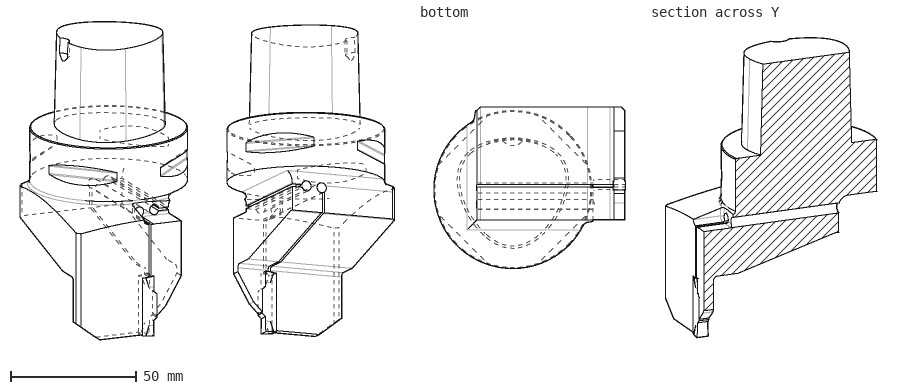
import cadquery as cq
import math


SHANK_LENGTH = 38.0
SHANK_MEAN_RADIUS = 22.0
SHANK_LOBE = 1.4
SHANK_TAPER = 1 / 40
LOBE_HALF_ANGLE = math.radians(28.5)
FACE_SPLINE_POINTS = 9
LOBES = 3

KEYWAY_RADIUS = 4.9
KEYWAY_DEPTH = 6.2
KEYWAY_AXIS_OFFSET = 2.75

FLANGE_RADIUS = 63 / 2
FLANGE_HEIGHT = 22.0
FLANGE_CHAMFER = 0.4
GROOVE_FLOOR_DISTANCE = 27.9
GROOVE_FLOOR_HEIGHT = 3.6
GROOVE_FILLET = 0.5
GROOVE_WALL_ANGLE = math.radians(30)
GROOVE_CENTER_Z = -12.0
GROOVE_DIRECTIONS = (45, 135, 225, 315)

HEAD_LEFT = -14.3
HEAD_RIGHT = 44.7
HEAD_FRONT = -33.0
HEAD_BACK = 12.1
HEAD_CORNER_CHAMFER = 1.5
ROOT_FILLET = 4.0
UNDERSIDE_START_Z = -37.0
UNDERSIDE_ANGLE = math.radians(15)
UNDERSIDE_FLAT_Z = -48.4
SHOULDER_TOP_Z = -23.05
SHOULDER_ANGLE = math.radians(15)
SHOULDER_FILLET = 1.2

BLADE_THICKNESS = 4.4
BLADE_ROOT_FILLET = 1.5
BLADE_BOTTOM_Z = -74.1
BLADE_CORNER_Y = -23.4
BLADE_CORNER_Z = -66.7
BLADE_BACK_Z = -51.5
BLADE_BACK_BEND = (5.3, -63.2)
BLADE_BACK_END_Z = -66.9

INSERT_RIGHT = 45.0
INSERT_TIP_WIDTH = 5.0
INSERT_BOTTOM_Z = -75.0
INSERT_LENGTH = 24.7
INSERT_FACE_Y = 0.1
INSERT_SEAT_Y = -4.7
INSERT_HUMP_Y = 1.5
HUMP_BASE_HALF = 6.15
HUMP_TOP_HALF = 4.85
INSERT_END_RELIEF = 0.4
TIP_LENGTH = 4.4
TIP_OUTER_Y = -3.5
TIP_INNER_Y = -2.0

RELIEF_RADIUS = 2.0
CLAMP_RELIEF_Z = -26.9
CLAMP_RELIEF_Y = -0.7
BACK_RELIEF_Y = 5.9
BACK_RELIEF_Z = -26.7
SLIT_WIDTH = 1.0
BACK_SLIT_Z = CLAMP_RELIEF_Z
CLAMP_SLIT_Y = -1.5
RECESS_LEFT = 31.9
RECESS_FRONT = -4.0
RECESS_FLOOR_Z = -28.75
RECESS_WALL_FILLET = 1.0
RECESS_FRONT_FILLET = 2.0

BLADE_LEFT = HEAD_RIGHT - BLADE_THICKNESS
INSERT_TOP_Z = INSERT_BOTTOM_Z + INSERT_LENGTH
INSERT_MIDDLE_Z = (INSERT_BOTTOM_Z + INSERT_TOP_Z) / 2
MARGIN = 5.0
REACH = 2 * (HEAD_RIGHT - HEAD_LEFT)


def extrude_along_x(outline, x_start, x_end):
    """Prism over a (Y, Z) outline made from a YZ workplane at the origin."""
    return outline.extrude(x_end - x_start).translate((x_start, 0, 0))


def extrude_along_y(outline, y_start, y_end):
    """Prism over an (X, Z) outline made from an XZ workplane at the origin."""
    return outline.extrude(y_start - y_end).translate((0, y_start, 0))


def box_between(x_range, y_range, z_range):
    size = [end - start for start, end in (x_range, y_range, z_range)]
    corner = (x_range[0], y_range[0], z_range[0])
    return cq.Workplane("XY").box(*size, centered=False).translate(corner)



def lobed_wire(z):
    """Closed shank section at height z: three lobe faces and three flank faces in turn."""
    radius = SHANK_MEAN_RADIUS - SHANK_TAPER * z

    def point(angle):
        along = radius * math.cos(angle) + SHANK_LOBE * math.cos(2 * angle)
        across = radius * math.sin(angle) - SHANK_LOBE * math.sin(2 * angle)
        return cq.Vector(-across, along, z)

    def face_edge(start, end):
        step = (end - start) / (FACE_SPLINE_POINTS - 1)
        return cq.Edge.makeSpline([point(start + i * step) for i in range(FACE_SPLINE_POINTS)])

    edges = []
    lobe_pitch = 2 * math.pi / LOBES
    for lobe in range(LOBES):
        peak = lobe * lobe_pitch
        lobe_end = peak + LOBE_HALF_ANGLE
        edges.append(face_edge(peak - LOBE_HALF_ANGLE, lobe_end))
        edges.append(face_edge(lobe_end, peak + lobe_pitch - LOBE_HALF_ANGLE))
    return cq.Wire.assembleEdges(edges)


def make_keyway():
    flank = SHANK_MEAN_RADIUS - SHANK_TAPER * SHANK_LENGTH - SHANK_LOBE
    floor_z = SHANK_LENGTH - KEYWAY_DEPTH
    return (
        cq.Workplane("XZ")
        .moveTo(0, floor_z - KEYWAY_RADIUS)
        .lineTo(KEYWAY_RADIUS, floor_z)
        .lineTo(KEYWAY_RADIUS, SHANK_LENGTH + MARGIN)
        .lineTo(0, SHANK_LENGTH + MARGIN)
        .close()
        .revolve(360, (0, 0, 0), (0, 1, 0))
        .translate((0, -flank - KEYWAY_AXIS_OFFSET, 0))
    )


def make_shank():
    loft = cq.Solid.makeLoft([lobed_wire(0), lobed_wire(SHANK_LENGTH)], True)
    return cq.Workplane(obj=loft).cut(make_keyway())


def make_flange():
    flange = cq.Workplane("XY").circle(FLANGE_RADIUS).extrude(-FLANGE_HEIGHT)
    flange = flange.faces(">Z").edges().chamfer(FLANGE_CHAMFER)
    floor_half = GROOVE_FLOOR_HEIGHT / 2
    mouth = FLANGE_RADIUS + MARGIN
    mouth_half = floor_half + (mouth - GROOVE_FLOOR_DISTANCE) * math.tan(GROOVE_WALL_ANGLE)
    groove = extrude_along_y(
        cq.Workplane("XZ").polyline([
            (GROOVE_FLOOR_DISTANCE, GROOVE_CENTER_Z - floor_half),
            (mouth, GROOVE_CENTER_Z - mouth_half),
            (mouth, GROOVE_CENTER_Z + mouth_half),
            (GROOVE_FLOOR_DISTANCE, GROOVE_CENTER_Z + floor_half),
        ]).close(),
        FLANGE_RADIUS,
        -FLANGE_RADIUS,
    )
    groove = groove.edges("<X").edges("|Y").fillet(GROOVE_FILLET)
    for angle in GROOVE_DIRECTIONS:
        flange = flange.cut(groove.rotate((0, 0, 0), (0, 0, 1), angle))
    return flange


def make_side_profile():
    """Head and blade outline in X and Z, with the root fillet at the left."""
    slope_run = (UNDERSIDE_START_Z - UNDERSIDE_FLAT_Z) / math.tan(UNDERSIDE_ANGLE)
    top = -FLANGE_HEIGHT
    outline = (
        cq.Workplane("XZ")
        .moveTo(HEAD_LEFT - ROOT_FILLET, top)
        .radiusArc((HEAD_LEFT, top - ROOT_FILLET), ROOT_FILLET)
        .lineTo(HEAD_LEFT, UNDERSIDE_START_Z)
        .lineTo(HEAD_LEFT + HEAD_CORNER_CHAMFER, UNDERSIDE_START_Z)
        .lineTo(HEAD_LEFT + HEAD_CORNER_CHAMFER + slope_run, UNDERSIDE_FLAT_Z)
        .lineTo(BLADE_LEFT - BLADE_ROOT_FILLET, UNDERSIDE_FLAT_Z)
        .radiusArc((BLADE_LEFT, UNDERSIDE_FLAT_Z - BLADE_ROOT_FILLET), BLADE_ROOT_FILLET)
        .lineTo(BLADE_LEFT, INSERT_BOTTOM_Z)
        .lineTo(HEAD_RIGHT, INSERT_BOTTOM_Z)
        .lineTo(HEAD_RIGHT, top)
        .close()
    )
    return extrude_along_y(outline, HEAD_BACK + ROOT_FILLET, HEAD_FRONT)


def make_end_profile():
    """Head and blade outline in Y and Z, with the root fillet at the back."""
    top = -FLANGE_HEIGHT
    outline = (
        cq.Workplane("YZ")
        .moveTo(HEAD_BACK + ROOT_FILLET, top)
        .radiusArc((HEAD_BACK, top - ROOT_FILLET), -ROOT_FILLET)
        .lineTo(HEAD_BACK, BLADE_BACK_Z)
        .lineTo(*BLADE_BACK_BEND)
        .lineTo(INSERT_HUMP_Y, BLADE_BACK_END_Z)
        .lineTo(INSERT_SEAT_Y, BLADE_BACK_END_Z)
        .lineTo(INSERT_SEAT_Y, BLADE_BOTTOM_Z)
        .lineTo(BLADE_CORNER_Y, BLADE_BOTTOM_Z)
        .lineTo(HEAD_FRONT, BLADE_CORNER_Z)
        .lineTo(HEAD_FRONT, top)
        .close()
    )
    return extrude_along_x(outline, HEAD_LEFT - ROOT_FILLET, HEAD_RIGHT)


def make_shoulder_envelope():
    """Solid of revolution whose filleted conical top bounds the head outside the flange."""
    tangent = SHOULDER_FILLET * math.tan((math.pi / 2 - SHOULDER_ANGLE) / 2)
    slope = math.tan(SHOULDER_ANGLE)
    fillet_end = (
        FLANGE_RADIUS + tangent * math.cos(SHOULDER_ANGLE),
        SHOULDER_TOP_Z - tangent * math.sin(SHOULDER_ANGLE),
    )
    return (
        cq.Workplane("XZ")
        .moveTo(0, -FLANGE_HEIGHT)
        .lineTo(FLANGE_RADIUS, -FLANGE_HEIGHT)
        .lineTo(FLANGE_RADIUS, SHOULDER_TOP_Z + tangent)
        .radiusArc(fillet_end, -SHOULDER_FILLET)
        .lineTo(REACH, SHOULDER_TOP_Z - (REACH - FLANGE_RADIUS) * slope)
        .lineTo(REACH, INSERT_BOTTOM_Z - MARGIN)
        .lineTo(0, INSERT_BOTTOM_Z - MARGIN)
        .close()
        .revolve(360, (0, 0, 0), (0, 1, 0))
    )


def make_corner_cuts():
    """45 degree cuts along the two vertical front corners of the head."""
    cuts = []
    for corner_x, inward in ((HEAD_LEFT, 1), (HEAD_RIGHT, -1)):
        cuts.append(
            cq.Workplane("XY", origin=(0, 0, -FLANGE_HEIGHT))
            .moveTo(corner_x + inward * HEAD_CORNER_CHAMFER, HEAD_FRONT)
            .lineTo(corner_x, HEAD_FRONT + HEAD_CORNER_CHAMFER)
            .lineTo(corner_x - inward * MARGIN, HEAD_FRONT + HEAD_CORNER_CHAMFER)
            .lineTo(corner_x - inward * MARGIN, HEAD_FRONT)
            .close()
            .extrude(INSERT_BOTTOM_Z + FLANGE_HEIGHT)
        )
    return cuts


def make_clamp_recess():
    """Open recess over the clamp finger, with filleted inner edges."""
    recess = box_between(
        (RECESS_LEFT, HEAD_RIGHT + MARGIN),
        (RECESS_FRONT, HEAD_BACK + MARGIN),
        (RECESS_FLOOR_Z, -FLANGE_HEIGHT + MARGIN),
    )
    recess = recess.edges("<Y and <Z").fillet(RECESS_FRONT_FILLET)
    return recess.edges("<X and <Z").fillet(RECESS_WALL_FILLET)


def make_clamp_slits():
    """Two relief holes along X, each opening into a slit."""
    x_range = (HEAD_LEFT - MARGIN, HEAD_RIGHT + MARGIN)
    half = SLIT_WIDTH / 2
    relief_holes = extrude_along_x(
        cq.Workplane("YZ")
        .pushPoints([(CLAMP_RELIEF_Y, CLAMP_RELIEF_Z), (BACK_RELIEF_Y, BACK_RELIEF_Z)])
        .circle(RELIEF_RADIUS),
        *x_range,
    )
    back_slit = box_between(
        x_range, (BACK_RELIEF_Y, HEAD_BACK + MARGIN), (BACK_SLIT_Z - half, BACK_SLIT_Z + half)
    )
    clamp_slit = box_between(
        x_range, (CLAMP_SLIT_Y - half, CLAMP_SLIT_Y + half), (INSERT_TOP_Z - half, CLAMP_RELIEF_Z)
    )
    return [relief_holes, back_slit, clamp_slit]



def insert_outline():
    """(Y, Z) outline of the insert, with relieved ends and a hump on its clamped face."""
    return (
        cq.Workplane("YZ")
        .polyline([
            (INSERT_FACE_Y, INSERT_BOTTOM_Z),
            (INSERT_SEAT_Y, INSERT_BOTTOM_Z + INSERT_END_RELIEF),
            (INSERT_SEAT_Y, INSERT_TOP_Z - INSERT_END_RELIEF),
            (INSERT_FACE_Y, INSERT_TOP_Z),
            (INSERT_FACE_Y, INSERT_MIDDLE_Z + HUMP_BASE_HALF),
            (INSERT_HUMP_Y, INSERT_MIDDLE_Z + HUMP_TOP_HALF),
            (INSERT_HUMP_Y, INSERT_MIDDLE_Z - HUMP_TOP_HALF),
            (INSERT_FACE_Y, INSERT_MIDDLE_Z - HUMP_BASE_HALF),
        ])
        .close()
    )


def make_lower_tip():
    """Cutting tip at the insert's lower end, flaring from blade width to full width."""
    tip_left = INSERT_RIGHT - INSERT_TIP_WIDTH
    tip_top = INSERT_BOTTOM_Z + TIP_LENGTH
    flare = extrude_along_y(
        cq.Workplane("XZ").polyline([
            (tip_left, INSERT_BOTTOM_Z),
            (INSERT_RIGHT, INSERT_BOTTOM_Z),
            (HEAD_RIGHT, tip_top),
            (BLADE_LEFT, tip_top),
        ]).close(),
        INSERT_FACE_Y,
        INSERT_SEAT_Y,
    )
    flank = extrude_along_x(
        cq.Workplane("YZ").polyline([
            (INSERT_FACE_Y, INSERT_BOTTOM_Z),
            (TIP_OUTER_Y, INSERT_BOTTOM_Z),
            (TIP_INNER_Y, tip_top),
            (INSERT_FACE_Y, tip_top),
        ]).close(),
        tip_left,
        INSERT_RIGHT,
    )
    full_length = extrude_along_x(insert_outline(), tip_left, INSERT_RIGHT)
    return flare.intersect(flank).intersect(full_length)


def make_insert():
    lower_tip = make_lower_tip()
    upper_tip = lower_tip.mirror("XY", (0, 0, INSERT_MIDDLE_Z))
    body = extrude_along_x(insert_outline(), BLADE_LEFT, HEAD_RIGHT)
    return body.union(lower_tip).union(upper_tip)


def make_holder():
    head = make_side_profile().intersect(make_end_profile()).intersect(make_shoulder_envelope())
    pocket = extrude_along_x(insert_outline(), BLADE_LEFT - MARGIN, HEAD_RIGHT + MARGIN)
    for cutter in [*make_corner_cuts(), make_clamp_recess(), *make_clamp_slits(), pocket]:
        head = head.cut(cutter)
    return make_flange().union(make_shank()).union(head)


holder = make_holder()
insert = make_insert()

result = cq.Compound.makeCompound([holder.solids().val(), insert.solids().val()])